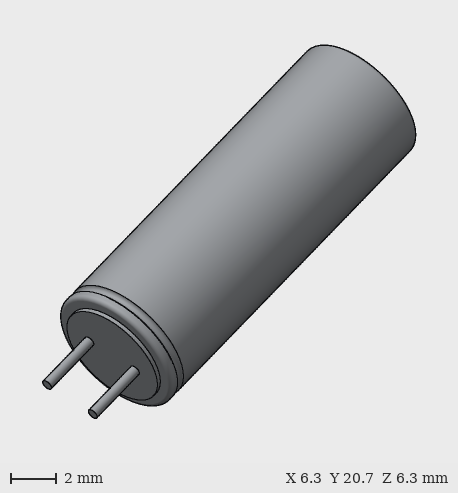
import cadquery as cq

overall_length = 20.7
can_diameter = 6.3
edge_radius = 0.2
lead_length = 3.0
lead_diameter = 0.5
lead_pitch = 2.55
plug_diameter = 5.05
plug_height = 0.2
groove_radius = 0.2
groove_offset = 0.65

can_radius = can_diameter / 2
can_start = plug_height
can_end = overall_length - lead_length
groove_y = can_start + groove_offset


def cylinder(diameter, start, end, x=0):
    """Cylinder parallel to Y, between two Y positions."""
    return (
        cq.Workplane("XZ", origin=(x, start, 0))
        .circle(diameter / 2)
        .extrude(start - end)
    )


def crimp_groove():
    """Ring with a round section, centred on the can wall."""
    return (
        cq.Workplane("XY")
        .center(can_radius, groove_y)
        .circle(groove_radius)
        .revolve(360, (-can_radius, 0), (-can_radius, 1))
    )


can = cylinder(can_diameter, can_start, can_end)
can = can.faces("<Y or >Y").edges().fillet(edge_radius)
result = can.cut(crimp_groove())

result = result.union(cylinder(plug_diameter, 0, can_start + edge_radius))

for side in (-1, 1):
    lead = cylinder(lead_diameter, -lead_length, can_start, side * lead_pitch / 2)
    result = result.union(lead)